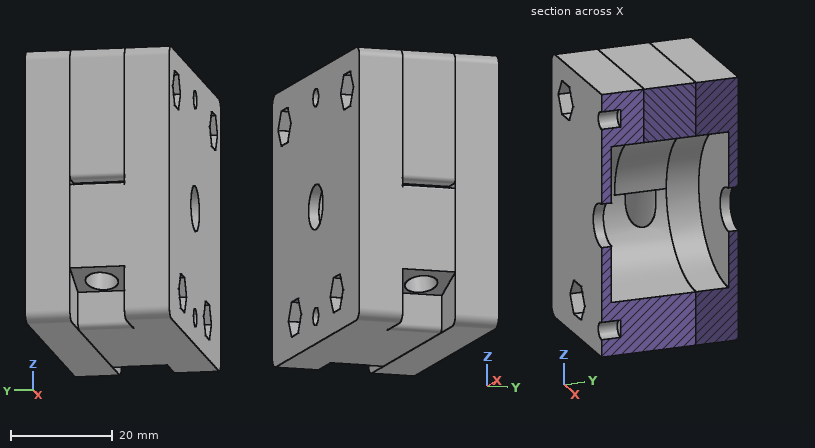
import cadquery as cq
import math

side = 55.0
corner_radius = 4.25 / 2
plate_thickness = 9.0
middle_thickness = 10.95
middle_front = -middle_thickness / 2
middle_back = middle_thickness / 2
front_face = middle_front - plate_thickness
back_face = middle_back + plate_thickness

shaft_hole_diameter = 9.0
chamber_diameter = 32.5
end_wall = 2.15

nut_corner_diameter = 8.1
nut_pocket_depth = 4.0
nut_row_height = 19.8
upper_nut_x = 19.7
lower_nut_x = 13.2
dowel_diameter = 3.5
dowel_height = 22.0
dowel_depth = 4.0

notch_top = -16.95
notch_depth = 8.6
ceiling_angle = 20.0
notch_fillet = 1.2
notch_wall_x = side / 2 - notch_depth
notch_inner_top = notch_top - notch_depth * math.tan(math.radians(ceiling_angle))

tube_diameter = 6.5
tube_x = 22.5
tube_length = 24.75
tube_lead = 0.55

gap_height = 1.0
gap_depth = 4.0
gap_upper_fillet = 1.0
gap_lower_fillet = 0.5


def rounded_slab(y_start, thickness):
    """Square slab with rounded corners, from y_start towards +Y."""
    return (
        cq.Workplane("XY")
        .box(side, thickness, side)
        .edges("|Y")
        .fillet(corner_radius)
        .translate((0, y_start + thickness / 2, 0))
    )


def cylinder_along_y(diameter, y_start, length, z=0.0):
    """Cylinder on x = 0 at height z, from y_start towards +Y."""
    axis_start = cq.Vector(0, y_start, z)
    return cq.Workplane(cq.Solid.makeCylinder(diameter / 2, length, axis_start, cq.Vector(0, 1, 0)))


def chamber():
    """Round chamber between the two end walls."""
    length = back_face - front_face - 2 * end_wall
    return cylinder_along_y(chamber_diameter, front_face + end_wall, length)


def shaft_hole():
    """Shaft hole through the whole stack."""
    return cylinder_along_y(shaft_hole_diameter, front_face, back_face - front_face)


def nut_pockets():
    """Four hexagonal pockets in the front face."""
    centres = [
        (-upper_nut_x, nut_row_height),
        (upper_nut_x, nut_row_height),
        (-lower_nut_x, -nut_row_height),
        (lower_nut_x, -nut_row_height),
    ]
    return (
        cq.Workplane("XZ", origin=(0, front_face, 0))
        .pushPoints(centres)
        .polygon(6, nut_corner_diameter)
        .extrude(-nut_pocket_depth)
    )


def mirrored_pair(left_body):
    """The left-hand shape together with its mirror image across x = 0."""
    return left_body.union(left_body.mirror("YZ"))


def tube_hole():
    """Left tube hole, running from the sloping ceiling into the chamber."""
    slope = math.radians(ceiling_angle)
    ceiling_z = notch_top - (side / 2 - tube_x) * math.tan(slope)
    direction = cq.Vector(math.sin(slope), 0, math.cos(slope))
    start = cq.Vector(-tube_x, 0, ceiling_z) - direction * tube_lead
    return cq.Workplane(cq.Solid.makeCylinder(tube_diameter / 2, tube_length, start, direction))


def make_lower_block():
    """Lower half of the middle layer, with notched bottom corners and tube holes."""
    half = side / 2
    outline = [
        (-half, 0),
        (half, 0),
        (half, notch_top),
        (notch_wall_x, notch_inner_top),
        (notch_wall_x, -half),
        (-notch_wall_x, -half),
        (-notch_wall_x, notch_inner_top),
        (-half, notch_top),
    ]
    block = (
        cq.Workplane("XZ", origin=(0, middle_back, 0))
        .polyline(outline)
        .close()
        .extrude(middle_thickness)
    )
    block = block.faces("<Z").edges("|Y").fillet(notch_fillet)
    block = block.faces(">Z").edges("|Y").fillet(gap_lower_fillet)
    return block.cut(mirrored_pair(tube_hole()))


def make_front_housing():
    """Front plate in one piece with the lower block."""
    housing = rounded_slab(front_face, plate_thickness).union(make_lower_block())
    housing = housing.cut(chamber()).cut(shaft_hole()).cut(nut_pockets())
    for z in (-dowel_height, dowel_height):
        housing = housing.cut(cylinder_along_y(dowel_diameter, front_face, dowel_depth, z))
    return housing


def make_upper_block():
    """Upper half of the middle layer, relieved along its lower side edges."""
    half = side / 2
    foot_x = half - gap_depth
    below_gap = cq.Workplane("XY", origin=(0, 0, gap_height)).rect(side, middle_thickness).extrude(-side)
    block = rounded_slab(middle_front, middle_thickness).cut(below_gap)
    block = block.faces("<Z").edges("|Y").fillet(gap_upper_fillet)
    foot = cq.Workplane("XY").box(2 * foot_x, middle_thickness, gap_height)
    foot = foot.translate((0, 0, gap_height / 2))
    return block.union(foot).cut(chamber())


def make_back_plate():
    """Back plate with its share of the chamber and the shaft hole."""
    return rounded_slab(middle_back, plate_thickness).cut(chamber()).cut(shaft_hole())


front_housing = make_front_housing()
upper_block = make_upper_block()
back_plate = make_back_plate()

result = cq.Compound.makeCompound([front_housing.val(), upper_block.val(), back_plate.val()])